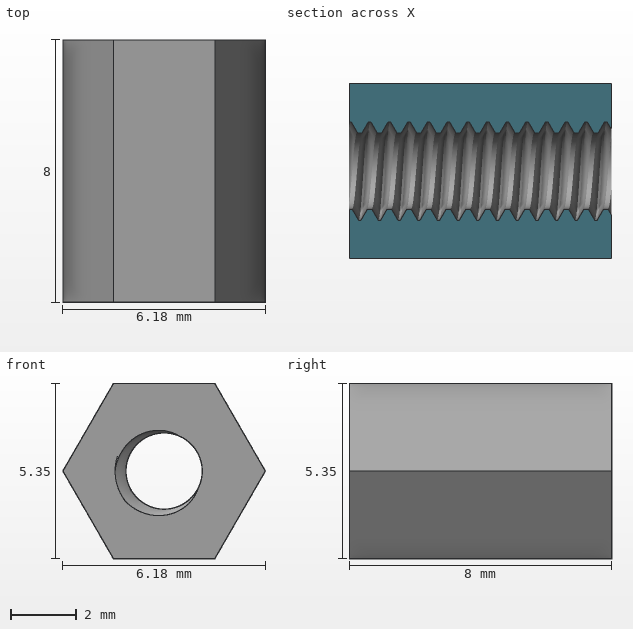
import cadquery as cq
import math

length = 8.0
across_flats = 5.35
across_corners = across_flats / math.cos(math.pi / 6)

bore_radius = 1.16
root_radius = 1.5
pitch = 0.6
root_flat = 0.06
flank_angle = math.radians(30)
start_angle = 200.0
seam_angle = 60.0
overrun_turns = 2

flank_width = (root_radius - bore_radius) * math.tan(flank_angle)
crest_flat = pitch - root_flat - 2 * flank_width

groove_start = -root_flat / 2 - flank_width
thread_profile = [
    (bore_radius, groove_start),
    (root_radius, -root_flat / 2),
    (root_radius, root_flat / 2),
    (bore_radius, groove_start + pitch - crest_flat),
    (bore_radius, groove_start + pitch),
]


def hexagonal_body():
    return cq.Workplane("XZ").polygon(6, across_corners).extrude(-length)


def helix_turn(radius, height):
    return cq.Wire.makeHelix(pitch, pitch, radius, cq.Vector(0, 0, height)).Edges()[0]


def turn_faces(base):
    """Helical faces of one thread turn starting at height base."""
    helices = [helix_turn(radius, base + height) for radius, height in thread_profile]
    return [
        cq.Face.makeRuledSurface(lower, upper)
        for lower, upper in zip(helices, helices[1:])
    ]


def end_faces(base):
    """Spiral ramp and radial step closing the thread core at one end."""
    ramp_start = base + groove_start
    axis_bottom = cq.Vector(0, 0, ramp_start)
    axis_top = cq.Vector(0, 0, ramp_start + pitch)
    ramp = cq.Face.makeRuledSurface(
        helix_turn(bore_radius, ramp_start),
        cq.Edge.makeLine(axis_bottom, axis_top),
    )
    outline = [cq.Vector(radius, 0, base + height) for radius, height in thread_profile]
    border = cq.Wire.makePolygon([axis_bottom] + outline + [axis_top], close=True)
    return [ramp, cq.Face.makeFromWires(border)]


def thread_core():
    """Solid screw filling the threaded hole, laid along Y."""
    turns = math.ceil(length / pitch) + 2 * overrun_turns
    root_advance = (start_angle - seam_angle) / 360 * pitch
    first_base = root_advance - overrun_turns * pitch
    faces = []
    for turn in range(turns):
        faces += turn_faces(first_base + turn * pitch)
    faces += end_faces(first_base)
    faces += end_faces(first_base + turns * pitch)
    core = cq.Solid.makeSolid(cq.Shell.makeShell(faces))
    return (
        cq.Workplane(obj=core)
        .rotate((0, 0, 0), (0, 0, 1), -seam_angle)
        .rotate((0, 0, 0), (1, 0, 0), -90)
    )


result = hexagonal_body().cut(thread_core())